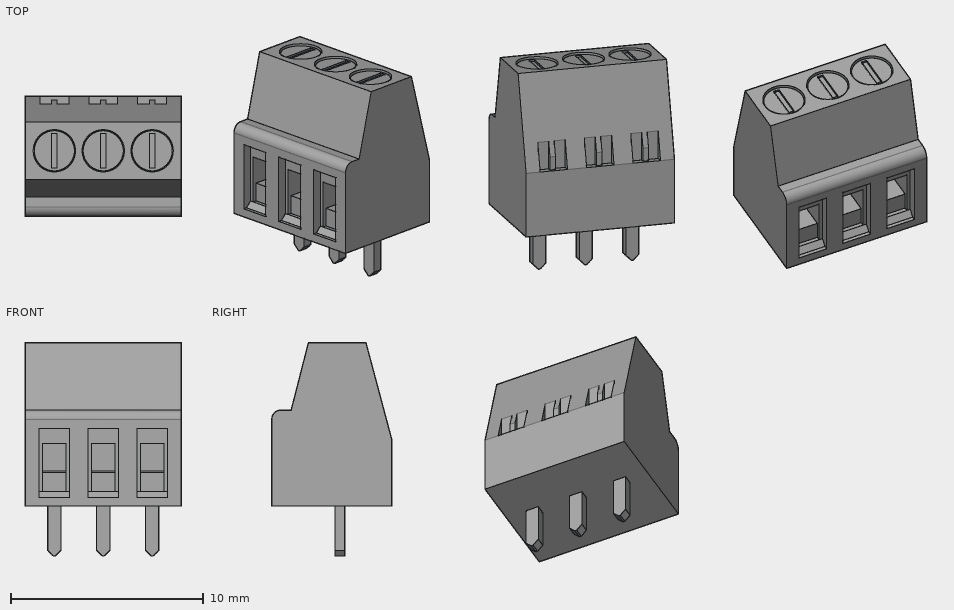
import cadquery as cq

width = 8.11
depth = 6.25
total_height = 11.1
pin_length = 2.6
body_height = total_height - pin_length
front_y = -depth / 2
back_y = depth / 2

pole_count = 3
pole_pitch = 2.54
pole_positions = [(i - (pole_count - 1) / 2) * pole_pitch for i in range(pole_count)]

shoulder_z = 5.0
shoulder_depth = 1.01
shoulder_radius = 0.49
top_front_inset = 1.91
top_back_inset = 1.34
back_slope_z = 3.46

entry_width = 1.6
entry_depth = 0.5
entry_bottom_z = 0.45
entry_top_z = 4.04
ramp_size = 0.3

window_width = 1.21
window_bottom_z = entry_bottom_z + ramp_size
window_top_z = 3.26
window_depth = depth / 2
block_depth = 0.71
block_top_z = 1.74
block_ramp_size = 0.08

notch_width = 1.5
notch_depth = 0.4
notch_height = body_height - back_slope_z
rib_width = 0.3
rib_depth = 0.21

screw_y = 0.29
screw_hole_diameter = 2.2
screw_hole_depth = 0.6
screw_hole_floor_z = body_height - screw_hole_depth
screw_diameter = 2.09
screw_recess = 0.1
screw_height = screw_hole_depth - screw_recess
drive_slot_width = 0.3
drive_slot_length = 1.8
drive_slot_depth = 0.1

pin_y = 0.42
pin_width = 0.71
pin_thickness = 0.52
pin_tip_height = 0.3
pin_tip_width = 0.1


def yz_prism(points, x, length):
    """Prism with a (Y, Z) outline, centred on x."""
    plane = cq.Workplane("YZ", origin=(x, 0, 0))
    return plane.polyline(points).close().extrude(length / 2, both=True)


def make_housing_block():
    """Solid housing with sloped front and back and a rounded front shoulder."""
    outline = [
        (front_y, 0),
        (back_y, 0),
        (back_y, back_slope_z),
        (back_y - top_back_inset, body_height),
        (front_y + top_front_inset, body_height),
        (front_y + shoulder_depth, shoulder_z),
        (front_y, shoulder_z),
    ]
    block = yz_prism(outline, 0, width)
    shoulder_edge = cq.selectors.NearestToPointSelector((0, front_y, shoulder_z))
    return block.edges(shoulder_edge).fillet(shoulder_radius)


def make_entry_recess(x):
    """Space of the outer recess, whose floor ramps up to the window."""
    inner_y = front_y + entry_depth
    outline = [
        (front_y, entry_bottom_z),
        (inner_y - ramp_size, entry_bottom_z),
        (inner_y, window_bottom_z),
        (inner_y, entry_top_z),
        (front_y, entry_top_z),
    ]
    return yz_prism(outline, x, entry_width)


def make_wire_window(x):
    """Space of the inner window, stepped up over the block and ramped at its far end."""
    start_y = front_y + entry_depth
    block_y = front_y + block_depth
    end_y = front_y + window_depth
    outline = [
        (start_y, window_bottom_z),
        (block_y, window_bottom_z),
        (block_y, block_top_z),
        (end_y - block_ramp_size, block_top_z),
        (end_y, block_top_z + block_ramp_size),
        (end_y, window_top_z),
        (start_y, window_top_z),
    ]
    return yz_prism(outline, x, window_width)


def make_back_notch(x):
    """Space of a back notch, leaving its rib standing."""
    x_only = (True, False, False)
    inner_wall = cq.Workplane("XY", origin=(x, back_y - notch_depth, back_slope_z))
    notch = inner_wall.box(notch_width, notch_depth, notch_height, centered=x_only)
    rib = inner_wall.box(rib_width, rib_depth, notch_height, centered=x_only)
    return notch.cut(rib)


def make_screw_hole(x):
    floor = cq.Workplane("XY", origin=(x, screw_y, screw_hole_floor_z))
    return floor.circle(screw_hole_diameter / 2).extrude(screw_hole_depth)


def make_housing():
    housing = make_housing_block()
    for x in pole_positions:
        housing = housing.cut(make_entry_recess(x))
        housing = housing.cut(make_wire_window(x))
        housing = housing.cut(make_back_notch(x))
        housing = housing.cut(make_screw_hole(x))
    return housing


def make_screw(x):
    """Round screw standing on the floor of its hole, with a straight drive slot."""
    floor = cq.Workplane("XY", origin=(x, screw_y, screw_hole_floor_z))
    screw = floor.circle(screw_diameter / 2).extrude(screw_height)
    slot_floor = floor.workplane(offset=screw_height - drive_slot_depth)
    drive_slot = slot_floor.rect(drive_slot_width, drive_slot_length).extrude(drive_slot_depth)
    return screw.cut(drive_slot)


def make_pin(x):
    """Flat pin below the housing, tapered to a blunt tip."""
    half_width = pin_width / 2
    half_tip = pin_tip_width / 2
    taper_z = pin_tip_height - pin_length
    outline = [
        (-half_width, 0),
        (-half_width, taper_z),
        (-half_tip, -pin_length),
        (half_tip, -pin_length),
        (half_width, taper_z),
        (half_width, 0),
    ]
    plane = cq.Workplane("XZ", origin=(x, pin_y, 0))
    return plane.polyline(outline).close().extrude(pin_thickness / 2, both=True)


housing = make_housing()
screws = [make_screw(x).val() for x in pole_positions]
pins = [make_pin(x).val() for x in pole_positions]

result = cq.Compound.makeCompound([housing.val(), *screws, *pins])